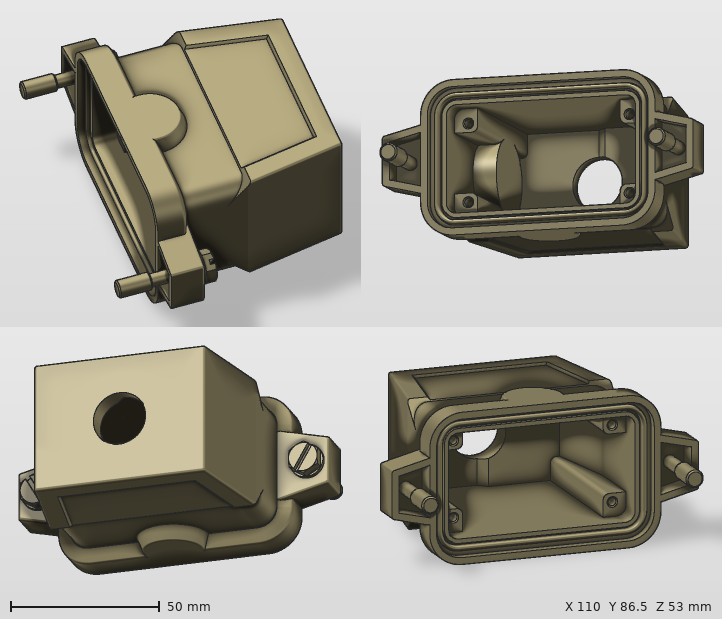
import cadquery as cq
import math


flange_half_x = 41.5
flange_half_z = 26.5
flange_corner = 11.7
flange_height = 12.0
flange_edge_height = 9.9
flange_edge_fillet = 1.0

neck_half_x = 36.5
neck_half_z = 21.5
neck_corner = 7.2
neck_corner_start = neck_half_z - neck_corner

hood_top = 69.8
hood_half_z = 22.8
hood_shoulder = 33.9
hood_taper = 10
hood_slope = math.tan(math.radians(hood_taper))
hood_fillet = 1.1
recess_depth = 0.9
recess_wall_angle = 45
recess_top = 62.7
recess_top_half_x = 24.2

dome_radius = 10.3
dome_taper = 22
dome_fillet = 0.8
dome_skirt = 4.4

cavity_half_x = 33.4
cavity_half_z = 18.5
cavity_straight = 34.1
floor_deep = 65.1
floor_shallow = 62.2
floor_step_run = 3.1
cable_hole_radius = 9.2

socket_inset = 2.4
socket_depth = 3.3
groove_outer_inset = 3.8
groove_inner_inset = 6.5
groove_depth = 1.6
groove_floor = socket_depth + groove_depth
gasket_inset = 4.8
gasket_radius = 0.82
gasket_wall = 0.3

post_front = 11.9
post_inner_x = 25.2
post_inner_z = 10.3
post_corner = 2.2
post_hole_x = 28.5
post_hole_z = 13.4
post_hole_radius = 1.4
post_hole_rim_radius = 1.9
post_hole_depth = 11.0

boss_radius = 13.8
boss_y = 45.4

ear_end_x = 55.0
ear_end_half_z = 8.4
ear_root_half_z = 11.7
ear_wall = 2.5
ear_fillet = 1.1
ear_top_fillet = 1.0
ear_pocket_depth = 7.5
ear_embed = 1.1

screw_x = 47.4
screw_tip = -16.7
thread_end = -4.8
thread_radius = 3.1
thread_chamfer = 0.5
shank_radius = 2.3
washer_radius = 5.8
washer_height = 1.4
head_height = 3.8
head_radius = washer_radius
head_crown_radius = 5.1
head_crown_height = 0.5
slot_width = 1.6
slot_depth = 1.8
slot_angle = 120

select_margin = 0.1


def section(y):
    """Sketch plane across Y with local axes X and Z; a negative extrude goes toward +Y."""
    return cq.Workplane("XZ", origin=(0, y, 0))


def between_y(low, high):
    """Selects edges whose centre lies between two Y levels."""
    reach = ear_end_x
    return cq.selectors.BoxSelector((-reach, low, -reach), (reach, high, reach))


def rounded_prism(half_x, half_z, corner, y_start, y_end):
    block = section(y_start).rect(2 * half_x, 2 * half_z).extrude(y_start - y_end)
    return block.edges("|Y").fillet(corner)


def flange_prism(inset, y_start, y_end):
    """Prism with the flange outline pulled in evenly."""
    half_x = flange_half_x - inset
    half_z = flange_half_z - inset
    return rounded_prism(half_x, half_z, flange_corner - inset, y_start, y_end)


def make_flange():
    flange = flange_prism(0, 0, flange_height)
    drop = flange_height - flange_edge_height
    flange = flange.faces(">Y").chamfer(drop, flange_half_x - neck_half_x)
    rim = flange.edges(between_y(flange_edge_height - select_margin, flange_edge_height + select_margin))
    return rim.fillet(flange_edge_fillet)


def make_hood():
    shoulder_drop = hood_half_z - neck_corner_start
    shoulder_high = hood_shoulder + hood_half_z - neck_half_z
    profile = [
        (hood_top, hood_half_z),
        (shoulder_high, hood_half_z),
        (shoulder_high - shoulder_drop, neck_corner_start),
    ]
    mirrored = [(y, -z) for y, z in reversed(profile)]
    side = cq.Workplane("YZ").polyline(profile + mirrored).close()
    hood = side.extrude(neck_half_x, both=True)
    top_half_x = neck_half_x - (hood_top - hood_shoulder) * hood_slope
    plan = [
        (neck_half_x, 0),
        (neck_half_x, hood_shoulder),
        (top_half_x, hood_top),
        (-top_half_x, hood_top),
        (-neck_half_x, hood_shoulder),
        (-neck_half_x, 0),
    ]
    hood = hood.intersect(cq.Workplane("XY").polyline(plan).close().extrude(hood_half_z, both=True))
    upper = between_y(shoulder_high + select_margin, hood_top + select_margin)
    return hood.edges(upper).fillet(hood_fillet)


def recess_cutter():
    """Shallow pocket in the +Z hood face with sloping walls, open at the shoulder."""
    low = hood_shoulder - recess_depth
    low_half_x = recess_top_half_x + (recess_top - low) * hood_slope
    outline = [
        (low_half_x, low),
        (recess_top_half_x, recess_top),
        (-recess_top_half_x, recess_top),
        (-low_half_x, low),
    ]
    plane = cq.Workplane("XY", origin=(0, 0, hood_half_z))
    return plane.polyline(outline).close().extrude(-recess_depth, taper=recess_wall_angle)


def make_dome():
    """Half-round tapered pad on the +Z side, running straight down into the flange."""
    skirt_end = flange_height - dome_skirt
    pad = (
        cq.Workplane("XY", origin=(0, 0, flange_half_z))
        .moveTo(-dome_radius, skirt_end)
        .lineTo(-dome_radius, flange_height)
        .threePointArc((0, flange_height + dome_radius), (dome_radius, flange_height))
        .lineTo(dome_radius, skirt_end)
        .close()
        .extrude(cavity_half_z - flange_half_z, taper=-dome_taper)
    )
    return pad.faces(">Z").edges(">Y").fillet(dome_fillet)


def both_z(solid):
    return solid.union(solid.mirror("XY"))


def both_x(solid):
    return solid.union(solid.mirror("YZ"))


def make_cavity():
    taper_deep = cavity_half_x - (floor_deep - cavity_straight) * hood_slope
    taper_shallow = cavity_half_x - (floor_shallow - cavity_straight) * hood_slope
    plan = [
        (-cavity_half_x, 0),
        (cavity_half_x, 0),
        (cavity_half_x, cavity_straight),
        (taper_shallow, floor_shallow),
        (floor_step_run, floor_shallow),
        (0, floor_deep),
        (-taper_deep, floor_deep),
        (-cavity_half_x, cavity_straight),
    ]
    corner = flange_corner - (flange_half_x - cavity_half_x)
    cavity = rounded_prism(cavity_half_x, cavity_half_z, corner, 0, floor_deep)
    return cavity.intersect(cq.Workplane("XY").polyline(plan).close().extrude(cavity_half_z, both=True))


def make_posts():
    length = floor_deep - post_front
    size_x = cavity_half_x - post_inner_x
    size_z = cavity_half_z - post_inner_z
    post = (
        section(post_front)
        .center(post_inner_x + size_x / 2, post_inner_z + size_z / 2)
        .rect(size_x, size_z)
        .extrude(-length)
    )
    post = post.edges("|Y and <X and <Z").fillet(post_corner)
    rim_depth = post_hole_rim_radius - post_hole_radius
    hole_profile = [
        (0, 0),
        (post_hole_rim_radius, 0),
        (post_hole_radius, rim_depth),
        (post_hole_radius, post_hole_depth),
        (0, post_hole_depth),
    ]
    hole = cq.Workplane("XY").polyline(hole_profile).close().revolve(360, (0, 0), (0, 1))
    post = post.cut(hole.translate((post_hole_x, post_front, post_hole_z)))
    return both_z(both_x(post))


def make_boss():
    length = cavity_half_x - post_inner_x
    plane = cq.Workplane("YZ", origin=(-cavity_half_x, boss_y, 0))
    return plane.circle(boss_radius).extrude(length)


def make_ear():
    slope = (ear_root_half_z - ear_end_half_z) / (ear_end_x - flange_half_x)
    inner_x = neck_half_x - ear_embed

    def half_z(x):
        return ear_root_half_z - slope * (x - flange_half_x)

    outline = [
        (inner_x, half_z(inner_x)),
        (ear_end_x, ear_end_half_z),
        (ear_end_x, -ear_end_half_z),
        (inner_x, -half_z(inner_x)),
    ]
    ear = section(0).polyline(outline).close().extrude(-flange_height)
    ear = ear.edges("|Y and >X").fillet(ear_fillet)
    ear = ear.faces(">Y").edges("not <X").fillet(ear_top_fillet)
    pocket_end = ear_end_x - ear_wall
    pocket = [
        (flange_half_x, half_z(flange_half_x) - ear_wall),
        (pocket_end, half_z(pocket_end) - ear_wall),
        (pocket_end, ear_wall - half_z(pocket_end)),
        (flange_half_x, ear_wall - half_z(flange_half_x)),
    ]
    return ear.cut(section(0).polyline(pocket).close().extrude(-ear_pocket_depth))


def make_screw():
    head_base = flange_height + washer_height
    head_top = head_base + head_height
    profile = [
        (0, screw_tip),
        (thread_radius - thread_chamfer, screw_tip),
        (thread_radius, screw_tip + thread_chamfer),
        (thread_radius, thread_end - thread_chamfer),
        (thread_radius - thread_chamfer, thread_end),
        (shank_radius, thread_end),
        (shank_radius, flange_height),
        (washer_radius, flange_height),
        (washer_radius, head_base),
        (0, head_base),
    ]
    screw = cq.Workplane("XY").polyline(profile).close().revolve(360, (0, 0), (0, 1))
    hexagon = section(head_base).transformed(rotate=(0, 0, 30)).polygon(6, 2 * head_radius)
    head = hexagon.extrude(-head_height)
    crown = [
        (0, head_base),
        (head_radius, head_base),
        (head_radius, head_top - head_crown_height),
        (head_crown_radius, head_top),
        (0, head_top),
    ]
    head = head.intersect(cq.Workplane("XY").polyline(crown).close().revolve(360, (0, 0), (0, 1)))
    slot = (
        section(head_top)
        .transformed(rotate=(0, 0, 180 - slot_angle))
        .rect(3 * head_radius, slot_width)
        .extrude(slot_depth)
    )
    return screw.union(head.cut(slot)).translate((screw_x, 0, 0))


def make_gasket():
    """Rail standing in the groove, straight-sided with a half-round crest."""
    crest_y = socket_depth - gasket_wall
    outer = flange_prism(gasket_inset - gasket_radius, crest_y, groove_floor)
    inner = flange_prism(gasket_inset + gasket_radius, crest_y, groove_floor)
    path = flange_prism(gasket_inset, crest_y, groove_floor).faces("<Y").wires()
    path_start = (0, crest_y, flange_half_z - gasket_inset)
    crest = cq.Workplane("YZ", origin=path_start).circle(gasket_radius).sweep(path)
    return outer.cut(inner).union(crest)


body = make_flange()
body = body.union(rounded_prism(neck_half_x, neck_half_z, neck_corner, 0, hood_shoulder))
body = body.union(make_hood())
body = body.union(both_z(make_dome()))
body = body.cut(both_z(recess_cutter()))
body = body.union(both_x(make_ear().union(make_screw())))

cavity = make_cavity()
inner_parts = make_posts().union(make_boss()).intersect(cavity)
body = body.cut(cavity).union(inner_parts)
body = body.cut(section(0).circle(cable_hole_radius).extrude(-hood_top))

socket = flange_prism(socket_inset, 0, socket_depth)
groove = flange_prism(groove_outer_inset, 0, groove_floor)
groove = groove.cut(flange_prism(groove_inner_inset, 0, groove_floor))
result = body.cut(socket).cut(groove).union(make_gasket())